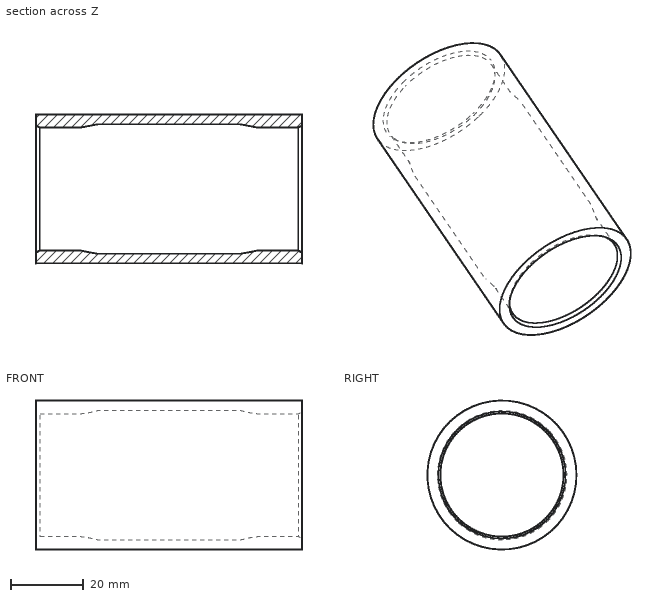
import cadquery as cq

length = 73.5
outer_radius = 41.2 / 2
bore_radius = 17.0

chamfer_length = 1.0
chamfer_depth = 0.6

land_end = 12.4
cone_length = 4.6
relief_depth = 0.9

mouth_radius = bore_radius + chamfer_depth
relief_radius = bore_radius + relief_depth
half_length = length / 2

inner_wall = [
    (0, mouth_radius),
    (chamfer_length, bore_radius),
    (land_end, bore_radius),
    (land_end + cone_length, relief_radius),
]

left_wall = [(depth - half_length, radius) for depth, radius in inner_wall]
right_wall = [(-x, radius) for x, radius in reversed(left_wall)]
outer_corners = [(half_length, outer_radius), (-half_length, outer_radius)]

result = (
    cq.Workplane("XY")
    .polyline(left_wall + right_wall + outer_corners)
    .close()
    .revolve(360, (0, 0, 0), (1, 0, 0))
)